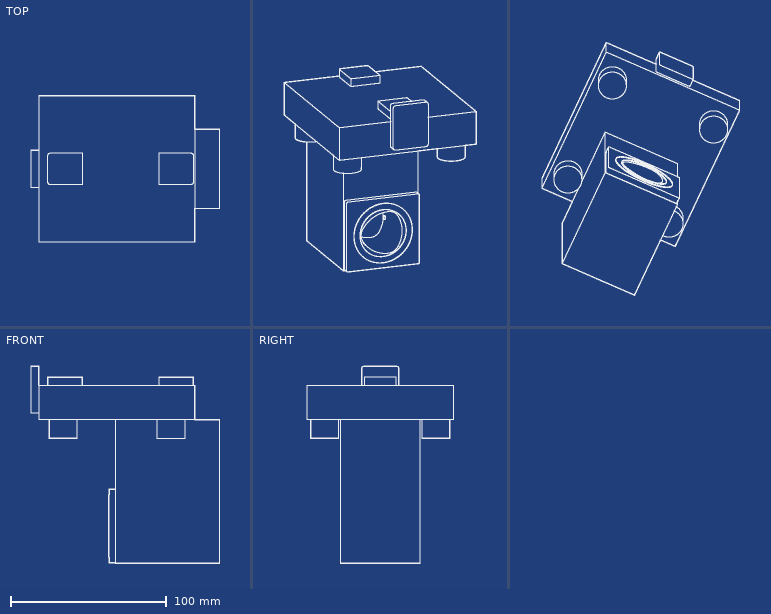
import cadquery as cq
import math


PLATE_LENGTH = 100.0
PLATE_WIDTH = 94.0
PLATE_HEIGHT = 22.0

PEG_DIAMETER = 18.0
PEG_LENGTH = 12.0
PEG_SPACING_X = 69.0
PEG_SPACING_Y = 71.2

CORNER_RADIUS = 1.5

PAD_LENGTH = 22.2
PAD_WIDTH = 20.0
PAD_HEIGHT = 5.2
LEFT_PAD_START = 5.6
RIGHT_PAD_END = 99.0

KEY_THICKNESS = 5.2
KEY_WIDTH = 24.0
KEY_HEIGHT = 30.0
KEY_RISE = 12.2

BLOCK_START = 49.0
BLOCK_END = 115.8
BLOCK_WIDTH = 51.0
BLOCK_HEIGHT = 92.2

COVER_THICKNESS = 4.0
COVER_WIDTH = 50.0
COVER_HEIGHT = 47.2
COVER_CORNER_RADIUS = 1.0
COVER_BOTTOM_GAP = 0.4
COVER_FACE = BLOCK_START - COVER_THICKNESS
SOCKET_Z = -BLOCK_HEIGHT + COVER_BOTTOM_GAP + COVER_HEIGHT / 2

RING_OUTER_DIAMETER = 40.01
RING_INNER_DIAMETER = 31.6
RING_HEIGHT = 0.5

SOCKET_MOUTH_DIAMETER = 28.1
SOCKET_DEPTH = 32.0
SOCKET_TAPER = 1 / 20
SOCKET_END_DIAMETER = SOCKET_MOUTH_DIAMETER - SOCKET_TAPER * SOCKET_DEPTH
LOBE_COUNT = 3
LOBE_OFFSET = 7.1

PIN_DIAMETER = 2.5
PIN_TIP_RADIUS = 11.5
PIN_LENGTH = 3.0


def box_between(x_start, x_end, width, z_start, z_end):
    """Box centred in Y."""
    return cq.Workplane("XY").box(
        x_end - x_start, width, z_end - z_start, centered=(False, True, False)
    ).translate((x_start, 0, z_start))


def top_pad(start, outer_edges):
    """Pad on the plate with its two outer corners rounded."""
    pad = box_between(start, start + PAD_LENGTH, PAD_WIDTH, PLATE_HEIGHT, PLATE_HEIGHT + PAD_HEIGHT)
    return pad.faces(outer_edges).edges("|Z").fillet(CORNER_RADIUS)


def pegs():
    return (
        cq.Workplane("XY")
        .center(PLATE_LENGTH / 2, 0)
        .rarray(PEG_SPACING_X, PEG_SPACING_Y, 2, 2)
        .circle(PEG_DIAMETER / 2)
        .extrude(-PEG_LENGTH)
    )


def upright_key():
    top = PLATE_HEIGHT + KEY_RISE
    key = box_between(-KEY_THICKNESS, 0, KEY_WIDTH, top - KEY_HEIGHT, top)
    return key.edges("|X").fillet(CORNER_RADIUS)


def front_cover():
    bottom = -BLOCK_HEIGHT + COVER_BOTTOM_GAP
    cover = box_between(COVER_FACE, BLOCK_START, COVER_WIDTH, bottom, bottom + COVER_HEIGHT)
    return cover.edges("|X").fillet(COVER_CORNER_RADIUS)


def socket_plane(x):
    """Plane across the socket axis, with its normal along +X."""
    return cq.Workplane("YZ", origin=(x, 0, SOCKET_Z))


def contact_ring():
    return (
        socket_plane(COVER_FACE)
        .circle(RING_OUTER_DIAMETER / 2)
        .circle(RING_INNER_DIAMETER / 2)
        .extrude(-RING_HEIGHT)
    )


def lobed_wire(x, diameter):
    """Rounded three-lobed outline of constant width, with one lobe pointing to +Y."""
    lobe_radius = (diameter - math.sqrt(3) * LOBE_OFFSET) / 2
    lobe_step = 360 / LOBE_COUNT
    lobe_half_angle = lobe_step / 4

    def arc_points(lobe, turn):
        """Start, middle and end of a lobe arc, for turn = -1, 0 and 1."""
        axis = math.radians(lobe * lobe_step)
        direction = axis + math.radians(turn * lobe_half_angle)
        y = LOBE_OFFSET * math.cos(axis) + lobe_radius * math.cos(direction)
        z = LOBE_OFFSET * math.sin(axis) + lobe_radius * math.sin(direction)
        return (y, z)

    outline = socket_plane(x).moveTo(*arc_points(0, -1))
    flank_middle_radius = diameter - lobe_radius - LOBE_OFFSET
    for lobe in range(LOBE_COUNT):
        outline = outline.threePointArc(arc_points(lobe, 0), arc_points(lobe, 1))
        flank_axis = math.radians((lobe + 0.5) * lobe_step)
        flank_middle = (
            flank_middle_radius * math.cos(flank_axis),
            flank_middle_radius * math.sin(flank_axis),
        )
        outline = outline.threePointArc(flank_middle, arc_points(lobe + 1, -1))
    return outline.wire().val()


def socket():
    mouth = lobed_wire(COVER_FACE, SOCKET_MOUTH_DIAMETER)
    end = lobed_wire(COVER_FACE + SOCKET_DEPTH, SOCKET_END_DIAMETER)
    return cq.Workplane("XY").add(cq.Solid.makeLoft([mouth, end], True))


def socket_pin():
    """Small radial pin on the -Y side, near the closed end of the socket."""
    pin_x = COVER_FACE + SOCKET_DEPTH - PIN_DIAMETER
    return (
        cq.Workplane("XZ", origin=(pin_x, -PIN_TIP_RADIUS, SOCKET_Z))
        .circle(PIN_DIAMETER / 2)
        .extrude(PIN_LENGTH)
    )


plate = box_between(0, PLATE_LENGTH, PLATE_WIDTH, 0, PLATE_HEIGHT)
block = box_between(BLOCK_START, BLOCK_END, BLOCK_WIDTH, -BLOCK_HEIGHT, 0)

result = (
    plate.union(block)
    .union(pegs())
    .union(top_pad(LEFT_PAD_START, "<X"))
    .union(top_pad(RIGHT_PAD_END - PAD_LENGTH, ">X"))
    .union(upright_key())
    .union(front_cover())
    .union(contact_ring())
    .cut(socket())
    .union(socket_pin())
)